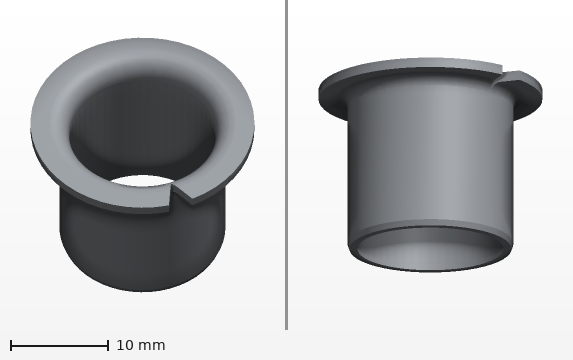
import cadquery as cq
import math

flange_diameter = 22.95
overall_height = 17.0
bore_diameter = 15.0
wall = 1.0
outer_bend_radius = 1.0
chamfer_height = 0.6
chamfer_width = 0.2
notch_half_width = 1.28

flange_radius = flange_diameter / 2
bore_radius = bore_diameter / 2
body_radius = bore_radius + wall
flange_underside = overall_height - wall

bend_center_radius = body_radius + outer_bend_radius
bend_center_height = flange_underside - outer_bend_radius
inner_bend_radius = outer_bend_radius + wall


def bend_midpoint(radius):
    """Middle of a quarter-circle bend arc, in the (radius, height) plane."""
    offset = radius * math.sqrt(0.5)
    return bend_center_radius - offset, bend_center_height + offset


def make_bushing():
    """Revolve the wall section, with the bottom of the sleeve at Z = 0."""
    section = (
        cq.Workplane("XZ")
        .moveTo(bore_radius, 0)
        .lineTo(body_radius - chamfer_width, 0)
        .lineTo(body_radius, chamfer_height)
        .lineTo(body_radius, bend_center_height)
        .threePointArc(bend_midpoint(outer_bend_radius), (bend_center_radius, flange_underside))
        .lineTo(flange_radius, flange_underside)
        .lineTo(flange_radius, overall_height)
        .lineTo(bend_center_radius, overall_height)
        .threePointArc(bend_midpoint(inner_bend_radius), (bore_radius, bend_center_height))
        .close()
    )
    return section.revolve(360, (0, 0, 0), (0, 1, 0))


def make_notch():
    """V-shaped cutter on the +X side, with its point at the body radius."""
    rim_x = math.sqrt(flange_radius**2 - notch_half_width**2)
    slope = notch_half_width / (rim_x - body_radius)
    end_x = flange_radius + wall
    end_half_width = slope * (end_x - body_radius)
    return (
        cq.Workplane("XY")
        .moveTo(body_radius, 0)
        .lineTo(end_x, -end_half_width)
        .lineTo(end_x, end_half_width)
        .close()
        .extrude(overall_height)
    )


result = make_bushing().cut(make_notch())